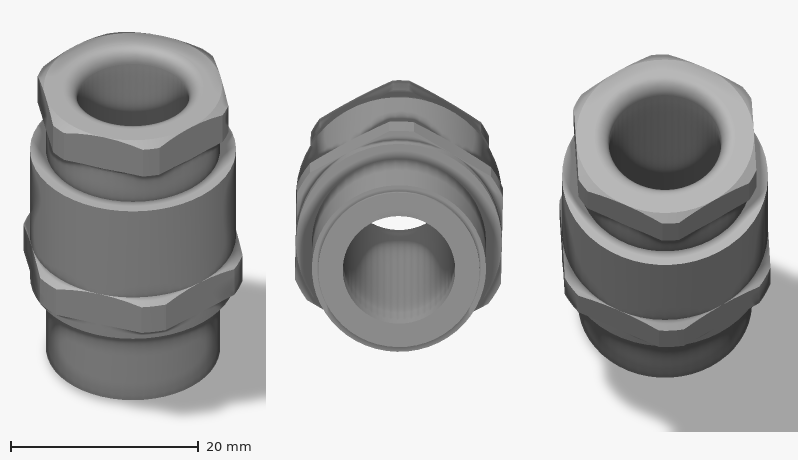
import cadquery as cq
import math

total_height = 35.4
lip_top = 0.5
thread_top = 10.0
flange_top = 11.5
body_hex_top = 15.5
body_top = 27.0
nut_bottom = 31.25

lip_diameter = 17.25
thread_diameter = 18.6
body_diameter = 22.0
neck_diameter = thread_diameter

body_hex_flats = body_diameter
body_hex_corners = 24.0
nut_flats = 19.0
nut_corners = 21.0
corner_chamfer_angle = math.radians(30)

neck_fillet = 0.5
neck_top = nut_bottom - neck_fillet

bore_diameter = 12.0
mouth_diameter = 15.0
mouth_radius = (mouth_diameter - bore_diameter) / 2


def cylinder(diameter, bottom, top):
    """Upright cylinder on the Z axis between two heights."""
    return cq.Workplane("XY").workplane(offset=bottom).circle(diameter / 2).extrude(top - bottom)


def hexagonal_prism(flats, bottom, top):
    """Plain hexagon with flats facing +Y and -Y."""
    point_diameter = flats / math.cos(math.radians(30))
    return cq.Workplane("XY").workplane(offset=bottom).polygon(6, point_diameter).extrude(top - bottom)


def turned_hexagon(flats, corners, bottom, top):
    """Hexagon with its corners turned round and chamfered at the top."""
    chamfer_width = (corners - flats) / 2
    chamfer_height = chamfer_width * math.tan(corner_chamfer_angle)
    turned_blank = cylinder(corners, bottom, top).faces(">Z").chamfer(chamfer_height, chamfer_width)
    return hexagonal_prism(flats, bottom, top).intersect(turned_blank)


def flared_neck_end():
    """Neck end flaring through the fillet into the nut, cut off at the nut flats."""
    neck_radius = neck_diameter / 2
    flare_radius = neck_radius + neck_fillet
    arc_inset = neck_fillet * (1 - math.cos(math.radians(45)))
    flare = (
        cq.Workplane("XZ")
        .moveTo(0, neck_top)
        .lineTo(neck_radius, neck_top)
        .threePointArc((neck_radius + arc_inset, nut_bottom - arc_inset), (flare_radius, nut_bottom))
        .lineTo(0, nut_bottom)
        .close()
        .revolve(360, (0, 0, 0), (0, 1, 0))
    )
    return flare.intersect(hexagonal_prism(nut_flats, neck_top, nut_bottom))


body = (
    cylinder(lip_diameter, 0, lip_top)
    .union(cylinder(thread_diameter, lip_top, thread_top))
    .union(cylinder(body_diameter, thread_top, body_top))
    .union(turned_hexagon(body_hex_flats, body_hex_corners, flange_top, body_hex_top))
)

cap_nut = (
    cylinder(neck_diameter, body_top, neck_top)
    .union(flared_neck_end())
    .union(turned_hexagon(nut_flats, nut_corners, nut_bottom, total_height))
)

bore = cylinder(bore_diameter, 0, total_height)
result = body.union(cap_nut).cut(bore)

bore_rim = cq.selectors.RadiusNthSelector(0)
result = result.faces(">Z").edges(bore_rim).fillet(mouth_radius)